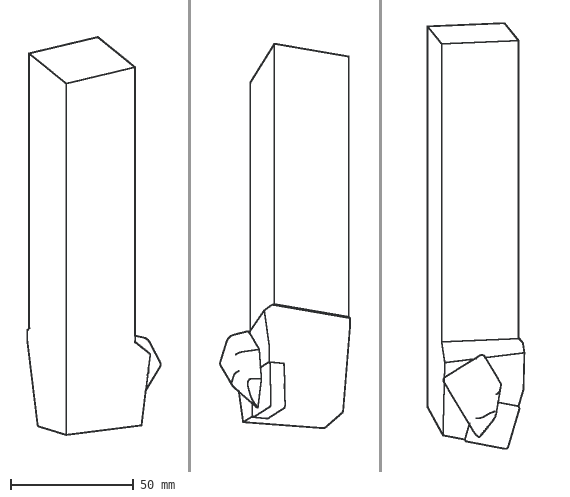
import cadquery as cq
import math

shank_width = 32.0
tool_top = 171.4

head_step = 1.5
head_start = 46.1
head_rise = 10.3

lead_angle = 15.0
rake_angle = 6.0
tip_x = 4.6
tip_z = -0.27

insert_side = 19.0
insert_thickness = 6.3
insert_nose_radius = 1.2
insert_overhang = 0.7
head_corner_radius = 1.0

clamp_height = 9.5
clamp_draft = 19.0
clamp_left = -11.5
clamp_right = 8.2
clamp_back = 42.7
clamp_back_draft = 5.0
clamp_shoulder = 26.5
clamp_nose = (16.3, -3.5)
clamp_front = 11.0
clamp_slope_start = 9.6
clamp_slope_angle = 36.0
clamp_edge_radius = 4.5
clamp_corner_radius = 1.5

cutter_size = 257.0
tolerance = 0.02

lead = math.radians(lead_angle)
rake_tilt = math.tan(math.radians(rake_angle))
rake_slope_x = rake_tilt * (math.cos(lead) - math.sin(lead))
rake_slope_z = rake_tilt * (math.cos(lead) + math.sin(lead))

side_edge = cq.Vector(
    -math.sin(lead),
    rake_slope_z * math.cos(lead) - rake_slope_x * math.sin(lead),
    math.cos(lead),
)
rake_plane = cq.Plane(
    origin=(tip_x, shank_width, tip_z),
    xDir=side_edge,
    normal=(-rake_slope_x, 1, -rake_slope_z),
)
clamp_plane = rake_plane.rotated((0, 0, 45))


def make_insert():
    """Square plate lying under the rake plane, with rounded corners."""
    return (
        cq.Workplane(rake_plane)
        .rect(insert_side, insert_side, centered=False)
        .extrude(-insert_thickness)
        .edges(cq.selectors.ParallelDirSelector(rake_plane.zDir))
        .fillet(insert_nose_radius)
    )


def make_relief_envelope():
    """Space below the rake plane and inside the side and end relief faces."""
    corner = rake_plane.toWorldCoords((insert_overhang, insert_overhang, -cutter_size / 2))
    return (
        cq.Workplane(rake_plane)
        .moveTo(insert_overhang, insert_overhang)
        .rect(cutter_size, cutter_size, centered=False)
        .extrude(-cutter_size)
        .edges(cq.selectors.NearestToPointSelector(corner.toTuple()))
        .fillet(head_corner_radius)
    )


def make_shank_and_head():
    """Shank with its head: the XZ outline and the YZ outline intersected, then trimmed."""
    head_depth = shank_width + head_rise
    front_outline = [
        (0, tool_top),
        (shank_width, tool_top),
        (shank_width, tip_z),
        (-head_step, tip_z),
        (-head_step, head_start - head_step),
        (0, head_start),
    ]
    side_outline = [
        (0, tip_z),
        (0, tool_top),
        (shank_width, tool_top),
        (shank_width, head_start),
        (head_depth, head_start - head_rise),
        (head_depth, tip_z),
    ]
    front = cq.Workplane("XZ").polyline(front_outline).close().extrude(-head_depth)
    side = (
        cq.Workplane("YZ", origin=(-head_step, 0, 0))
        .polyline(side_outline)
        .close()
        .extrude(shank_width + head_step)
    )
    return front.intersect(side).intersect(make_relief_envelope())


def clamp_cutter(along, angle):
    """Everything beyond a plane crossing the diagonal at one place, tilted from the rake plane."""
    tilt = math.radians(angle)
    plane = cq.Plane(
        origin=clamp_plane.toWorldCoords((along, 0, 0)),
        xDir=clamp_plane.yDir,
        normal=clamp_plane.zDir * math.cos(tilt) + clamp_plane.xDir * math.sin(tilt),
    )
    return cq.Workplane(plane).rect(cutter_size, cutter_size).extrude(cutter_size)


def clamp_edges(block, accepts):
    """Edges chosen by their lowest end, highest end and place along the diagonal."""
    chosen = []
    for edge in block.edges().vals():
        heights = [clamp_plane.toLocalCoords(end.Center()).z for end in edge.Vertices()]
        along = clamp_plane.toLocalCoords(edge.Center()).x
        if accepts(min(heights), max(heights), along):
            chosen.append(edge)
    return block.newObject(chosen)


def make_clamp():
    """Drafted block with a steep back, a sloping front and rounded outer edges."""
    overrun = clamp_back + clamp_height
    outline = [
        clamp_nose,
        (clamp_shoulder, clamp_left),
        (overrun, clamp_left),
        (overrun, clamp_right),
        (clamp_front, clamp_right),
    ]
    block = (
        cq.Workplane(clamp_plane)
        .polyline(outline)
        .close()
        .extrude(clamp_height, taper=clamp_draft)
        .cut(clamp_cutter(clamp_back, 90 - clamp_back_draft))
        .cut(clamp_cutter(clamp_slope_start, -clamp_slope_angle))
    )

    crest = clamp_slope_start + clamp_height / math.tan(math.radians(clamp_slope_angle))

    def is_rim(low, high, along):
        reaches_top = high > clamp_height - tolerance
        return low > tolerance and reaches_top and abs(along - crest) > tolerance

    def is_back_corner(low, high, along):
        nearer_back = along > (clamp_shoulder + clamp_back) / 2
        return low < tolerance < high and nearer_back

    block = clamp_edges(block, is_rim).fillet(clamp_edge_radius)
    return clamp_edges(block, is_back_corner).fillet(clamp_corner_radius)


insert = make_insert()
holder = make_shank_and_head().cut(insert).union(make_clamp())

result = cq.Compound.makeCompound([holder.val(), insert.val()])